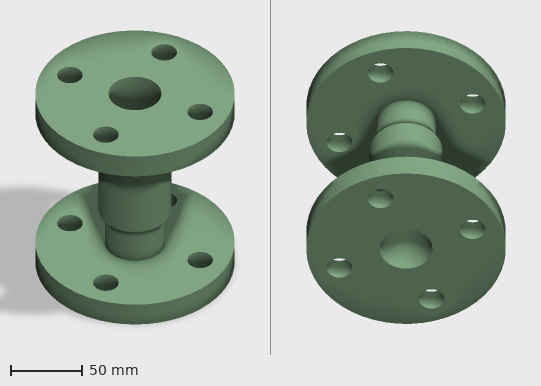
import cadquery as cq
import math

TOTAL_HEIGHT = 152.0
FLANGE_DIAMETER = 140.0
FLANGE_THICKNESS = 18.0

BORE_DIAMETER = 37.1
PIPE_DIAMETER = 42.4
BODY_DIAMETER = 51.0
BODY_STRAIGHT_LENGTH = 56.1
SHOULDER_RADIUS = 3.0
NECK_RADIUS = 2.5

BOLT_HOLE_COUNT = 4
BOLT_HOLE_DIAMETER = 18.0
BOLT_CIRCLE_DIAMETER = 100.0
FIRST_BOLT_ANGLE = 45.0


def make_flange(bottom_z):
    """Flat disc with a ring of through bolt holes."""
    return (
        cq.Workplane("XY", origin=(0, 0, bottom_z))
        .circle(FLANGE_DIAMETER / 2)
        .polarArray(BOLT_CIRCLE_DIAMETER / 2, FIRST_BOLT_ANGLE, 360, BOLT_HOLE_COUNT)
        .circle(BOLT_HOLE_DIAMETER / 2)
        .extrude(FLANGE_THICKNESS)
    )


def make_pipe():
    """Solid pipe reaching from end face to end face."""
    return (
        cq.Workplane("XY", origin=(0, 0, -TOTAL_HEIGHT / 2))
        .circle(PIPE_DIAMETER / 2)
        .extrude(TOTAL_HEIGHT)
    )


def make_body():
    """Middle body, revolved; each end is an S-curve of two tangent arcs down to the pipe."""
    body_radius = BODY_DIAMETER / 2
    pipe_radius = PIPE_DIAMETER / 2
    half_straight = BODY_STRAIGHT_LENGTH / 2

    shoulder_center_r = body_radius - SHOULDER_RADIUS
    neck_center_r = pipe_radius + NECK_RADIUS
    center_distance = SHOULDER_RADIUS + NECK_RADIUS
    lean = math.asin((neck_center_r - shoulder_center_r) / center_distance)
    neck_z = half_straight + center_distance * math.cos(lean)

    def shoulder_point(angle):
        r = shoulder_center_r + SHOULDER_RADIUS * math.sin(angle)
        z = half_straight + SHOULDER_RADIUS * math.cos(angle)
        return r, z

    def neck_point(angle):
        r = neck_center_r - NECK_RADIUS * math.sin(angle)
        z = neck_z - NECK_RADIUS * math.cos(angle)
        return r, z

    middle_angle = (lean + math.pi / 2) / 2
    upper_half = (
        cq.Workplane("XZ")
        .lineTo(body_radius, 0)
        .lineTo(body_radius, half_straight)
        .threePointArc(shoulder_point(middle_angle), shoulder_point(lean))
        .threePointArc(neck_point(middle_angle), (pipe_radius, neck_z))
        .lineTo(0, neck_z)
        .close()
        .revolve(360, (0, 0, 0), (0, 1, 0))
    )
    return upper_half.union(upper_half.mirror("XY"))


def make_bore():
    """Through bore along the pipe axis."""
    return (
        cq.Workplane("XY", origin=(0, 0, -TOTAL_HEIGHT / 2))
        .circle(BORE_DIAMETER / 2)
        .extrude(TOTAL_HEIGHT)
    )


lower_flange = make_flange(-TOTAL_HEIGHT / 2)
upper_flange = make_flange(TOTAL_HEIGHT / 2 - FLANGE_THICKNESS)

result = (
    make_pipe()
    .union(make_body())
    .union(lower_flange)
    .union(upper_flange)
    .cut(make_bore())
    .clean()
)